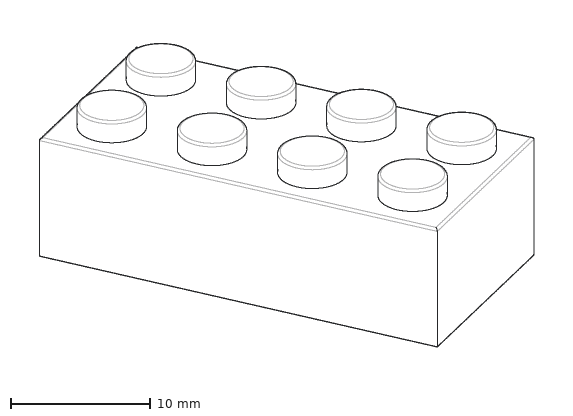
import cadquery as cq

length = 31.8
width = 15.8
total_height = 11.3
stud_height = 1.72
body_height = total_height - stud_height

stud_diameter = 5.0
stud_pitch = 8.0
stud_columns = 4
stud_rows = 2

edge_radius = 0.2


def make_body():
    """Plain block standing on Z = 0 with a rounded top rim."""
    block = cq.Workplane("XY").box(length, width, body_height, centered=(True, True, False))
    return block.faces(">Z").edges().fillet(edge_radius)


def make_studs():
    """Centred grid of round studs with rounded top rims."""
    return (
        cq.Workplane("XY", origin=(0, 0, body_height))
        .rarray(stud_pitch, stud_pitch, stud_columns, stud_rows)
        .circle(stud_diameter / 2)
        .extrude(stud_height)
        .faces(">Z")
        .edges()
        .fillet(edge_radius)
    )


result = make_body().union(make_studs())